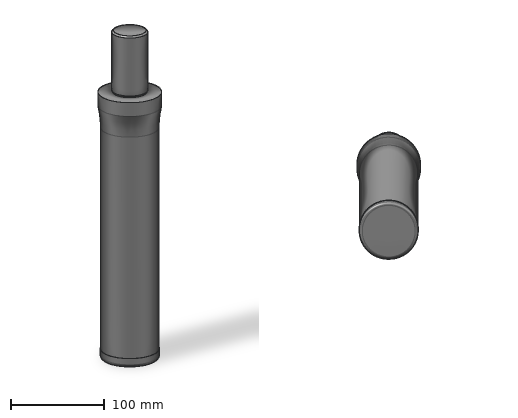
import cadquery as cq

total_height = 371.0
housing_height = 301.0
collar_height = 15.5
flare_height = 24.5
cap_height = 10.5

collar_diameter = 68.0
tube_radius = 31.0
cap_radius = 31.5
rod_radius = 19.3

collar_radius = collar_diameter / 2

cap_rounding = 3.5
rod_chamfer = 2.0
foot_chamfer_height = 2.2
foot_chamfer_width = 1.0

collar_bottom = housing_height - collar_height
flare_bottom = collar_bottom - flare_height

flare_step = collar_radius - tube_radius
flare_arc_radius = (flare_height**2 + flare_step**2) / (2 * flare_step)


def make_rod():
    """Piston rod with a chamfered tip and a steeper chamfer at its foot, standing on the housing."""
    rod_length = total_height - housing_height
    rod = cq.Workplane("XY").workplane(offset=housing_height).circle(rod_radius).extrude(rod_length)
    rod = rod.faces(">Z").chamfer(rod_chamfer)
    foot_taper = (
        cq.Workplane("XZ", origin=(0, 0, housing_height))
        .moveTo(rod_radius - foot_chamfer_width, 0)
        .lineTo(rod_radius, 0)
        .lineTo(rod_radius, foot_chamfer_height)
        .close()
        .revolve(360, (0, 0, 0), (0, 1, 0))
    )
    return rod.cut(foot_taper)


def make_housing():
    """Solid of revolution: rounded end cap, tube, concave flare and collar."""
    profile = (
        cq.Workplane("XZ")
        .lineTo(cap_radius - cap_rounding, 0)
        .radiusArc((cap_radius, cap_rounding), -cap_rounding)
        .lineTo(cap_radius, cap_height)
        .lineTo(tube_radius, cap_height)
        .lineTo(tube_radius, flare_bottom)
        .radiusArc((collar_radius, collar_bottom), flare_arc_radius)
        .lineTo(collar_radius, housing_height)
        .lineTo(0, housing_height)
        .close()
    )
    return profile.revolve(360, (0, 0, 0), (0, 1, 0))


housing = make_housing()
rod = make_rod()

result = cq.Compound.makeCompound([housing.val(), rod.val()])